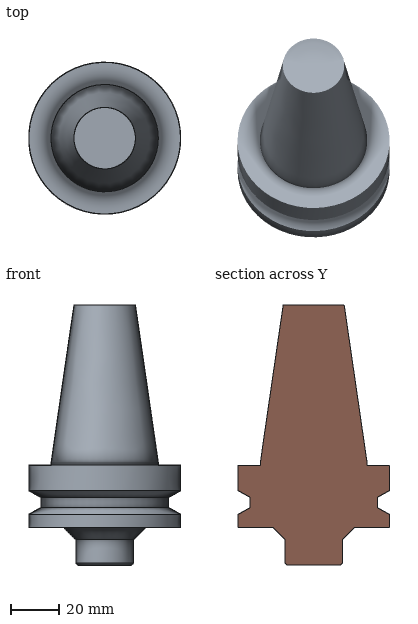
import cadquery as cq

flange_diameter = 63.0
groove_diameter = 53.0
gauge_diameter = 44.5
taper_tip_diameter = 25.5
nose_diameter = 24.0
nose_cone_diameter = 33.9

total_height = 107.9
nose_height = 10.7
flange_bottom = 15.6
lower_rim_top = 21.1
groove_floor_bottom = 24.0
groove_floor_top = 28.2
upper_rim_bottom = 31.0
flange_top = 41.5
gauge_height = 42.5

nose_chamfer = 1.0


def cylinder(diameter, bottom, top):
    """Solid cylinder on the Z axis between two heights."""
    return cq.Workplane("XY").workplane(offset=bottom).circle(diameter / 2).extrude(top - bottom)


def cone(bottom_diameter, top_diameter, bottom, top):
    """Solid cone frustum on the Z axis between two heights."""
    profile = [(0, bottom), (bottom_diameter / 2, bottom), (top_diameter / 2, top), (0, top)]
    return cq.Workplane("XZ").polyline(profile).close().revolve(360, (0, 0, 0), (0, 1, 0))


nose = cylinder(nose_diameter, 0, nose_height).faces("<Z").chamfer(nose_chamfer)
nose_cone = cone(nose_diameter, nose_cone_diameter, nose_height, flange_bottom)

lower_rim = cylinder(flange_diameter, flange_bottom, lower_rim_top)
lower_flank = cone(flange_diameter, groove_diameter, lower_rim_top, groove_floor_bottom)
groove_floor = cylinder(groove_diameter, groove_floor_bottom, groove_floor_top)
upper_flank = cone(groove_diameter, flange_diameter, groove_floor_top, upper_rim_bottom)
upper_rim = cylinder(flange_diameter, upper_rim_bottom, flange_top)

collar = cylinder(gauge_diameter, flange_top, gauge_height)
taper = cone(gauge_diameter, taper_tip_diameter, gauge_height, total_height)

result = nose
for section in (nose_cone, lower_rim, lower_flank, groove_floor, upper_flank, upper_rim, collar, taper):
    result = result.union(section)